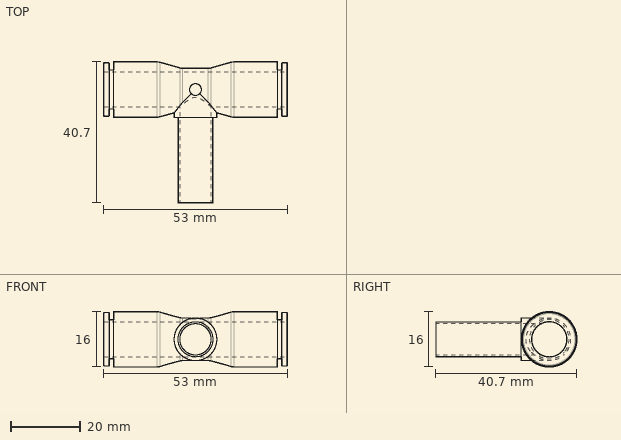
import cadquery as cq
import math

overall_length = 53.0
bore_radius = 5.05
body_length = 47.15
body_radius = 8.0
waist_radius = 6.15
taper_outer_x = 10.65
taper_inner_x = 4.1
blend_length = 0.8

collar_radius = 7.75
collar_thickness = 1.7
collar_edge_radius = 0.3
neck_radius = 5.65

boss_radius = waist_radius
boss_reach = 8.1
stem_radius = 5.05
stem_bore_radius = 4.5
stem_reach = 32.65

recess_radius = 1.7
recess_depth = 0.25


def x_cylinder(radius, length):
    """Cylinder along X, centred on the origin."""
    return cq.Workplane("YZ").workplane(offset=-length / 2).circle(radius).extrude(length)


def branch_cylinder(radius, reach):
    """Cylinder from the run axis toward -Y."""
    return cq.Workplane("XZ").circle(radius).extrude(reach)


def run_body():
    """Body with a narrow waist and rounded tapers, revolved about X."""
    half_body = body_length / 2
    taper_angle = math.atan2(body_radius - waist_radius, taper_outer_x - taper_inner_x)
    blend_radius = blend_length / math.sin(taper_angle)
    profile = [
        (-half_body, 0),
        (-half_body, body_radius),
        (-taper_outer_x, body_radius),
        (-taper_inner_x, waist_radius),
        (taper_inner_x, waist_radius),
        (taper_outer_x, body_radius),
        (half_body, body_radius),
        (half_body, 0),
    ]
    solid = cq.Workplane("XY").polyline(profile).close().revolve(360, (0, 0, 0), (1, 0, 0))
    box_corner = (half_body - blend_length, body_radius, body_radius)
    opposite_corner = tuple(-value for value in box_corner)
    taper_edges = cq.selectors.BoxSelector(opposite_corner, box_corner)
    return solid.edges("%CIRCLE").edges(taper_edges).fillet(blend_radius)


def collar(side):
    """Rounded release collar at the +X (side=1) or -X (side=-1) end."""
    disc = x_cylinder(collar_radius, collar_thickness).edges("%CIRCLE").fillet(collar_edge_radius)
    return disc.translate((side * (overall_length - collar_thickness) / 2, 0, 0))


result = run_body().union(x_cylinder(neck_radius, overall_length - collar_thickness))
for side in (-1, 1):
    result = result.union(collar(side))
result = result.union(branch_cylinder(boss_radius, boss_reach))
result = result.union(branch_cylinder(stem_radius, stem_reach))

recess = (
    cq.Workplane("XY")
    .workplane(offset=waist_radius - recess_depth)
    .circle(recess_radius)
    .extrude(2 * recess_depth)
)
result = result.cut(recess)

result = result.cut(x_cylinder(bore_radius, overall_length))
result = result.cut(branch_cylinder(stem_bore_radius, stem_reach))